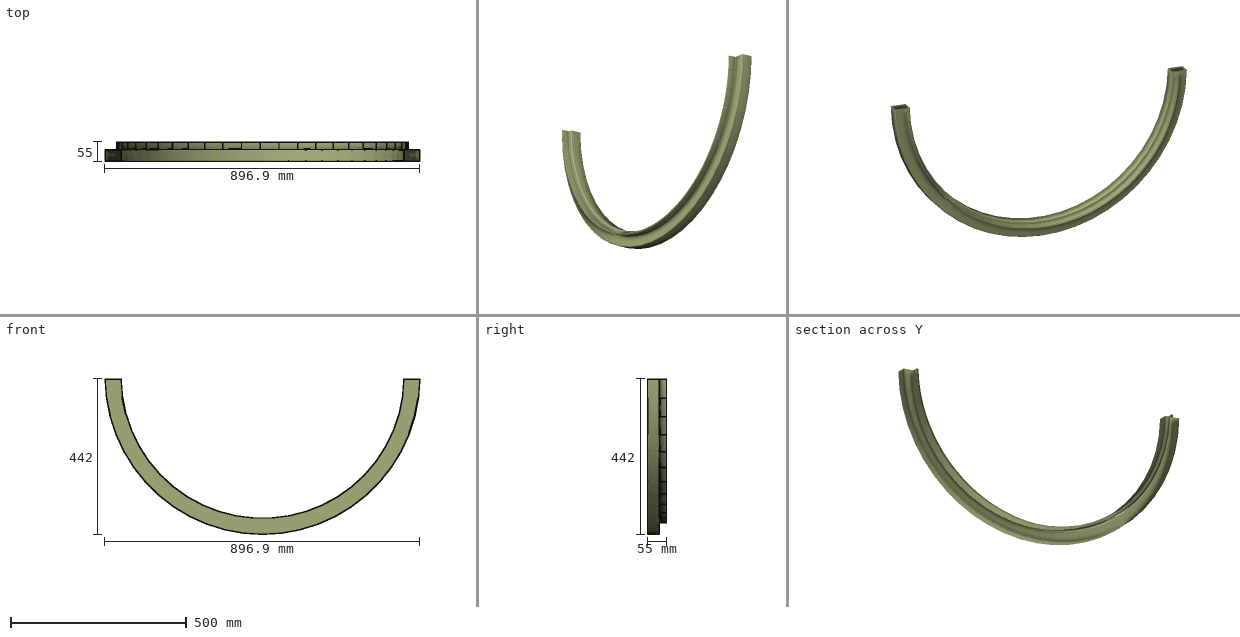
import cadquery as cq
import math

outer_radius = 448.5
end_drop = 6.5
sheet = 1.5
box_bend = 2.8
root_bend = 3.0

box_width = 46.5
box_depth = 34.0
total_depth = 55.0
fin_setback = 32.5
fin_thickness = 4.5

slit_width = 0.3
slit_pitch = 7.5
slit_count = 23

box_middle_radius = outer_radius - box_width / 2
fin_middle_radius = outer_radius - fin_setback - fin_thickness / 2
fin_end_angle = math.degrees(math.acos(end_drop / fin_middle_radius))
fin_base = box_depth + root_bend


def box_profile(inset, bend_radius):
    """Rounded box section, moved inward by inset, in the X (radial) and Y plane."""
    box = cq.Sketch().rect(box_width - 2 * inset, box_depth - 2 * inset)
    box = box.vertices().fillet(bend_radius).reset()
    return box.moved(cq.Location(cq.Vector(box_middle_radius, box_depth / 2, 0)))


def fin_profile(inset):
    """Straight fin from the middle of the box to the fin tip."""
    bottom = box_depth / 2
    fin = cq.Sketch().rect(fin_thickness - 2 * inset, total_depth - bottom)
    return fin.moved(cq.Location(cq.Vector(fin_middle_radius, (bottom + total_depth) / 2, 0)))


def joined_profile(inset, bend_radius, root_radius):
    """Box and fin sections joined, with the two corners between them rounded."""
    profile = box_profile(inset, bend_radius).face(fin_profile(inset)).clean()
    back = box_depth - inset
    root_corners = cq.selectors.BoxSelector(
        (fin_middle_radius - fin_thickness, back - sheet / 2, -1),
        (fin_middle_radius + fin_thickness, back + sheet / 2, 1),
    )
    return profile.vertices(root_corners).fillet(root_radius).reset()


def sweep(profile):
    """Sweep a profile through the half turn below the arc centre."""
    return cq.Workplane("XY").placeSketch(profile).revolve(180, (0, 0, 0), (0, 1, 0))


def make_sheet_ring():
    """Half ring of sheet: the outer shape less the box interior and the gap in the fin."""
    outside = sweep(joined_profile(0, box_bend, root_bend))
    hollow = sweep(joined_profile(sheet, box_bend - sheet, root_bend + sheet))
    return outside.cut(hollow)


def make_end_trim():
    """Block that removes everything above the flat arch ends."""
    return cq.Workplane("XY").box(3 * outer_radius, 3 * total_depth, 2 * end_drop)


def make_slits():
    """Thin blocks across the fin at equal angles along the arch."""
    slit_height = total_depth - fin_base
    block = cq.Workplane("XY").box(slit_width, slit_height, 3 * fin_thickness)
    block = block.translate((0, fin_base + slit_height / 2, -fin_middle_radius))
    slits = cq.Workplane("XY")
    for tab in range(1, slit_count + 1):
        angle_from_bottom = fin_end_angle - tab * slit_pitch
        slits = slits.add(block.rotate((0, 0, 0), (0, 1, 0), -angle_from_bottom))
    return slits.combine()


result = make_sheet_ring().cut(make_end_trim()).cut(make_slits())